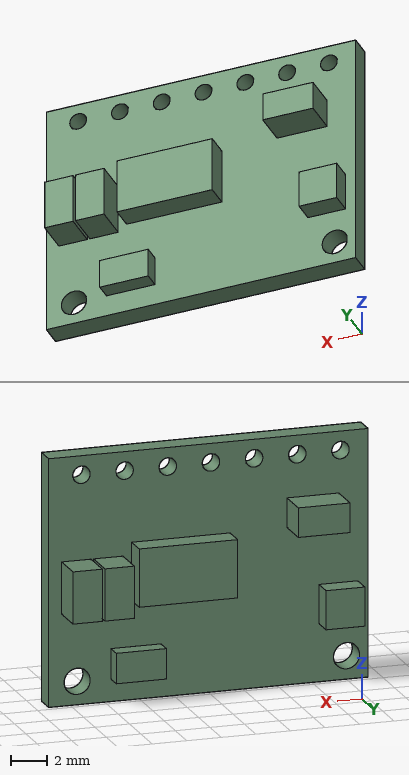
import cadquery as cq

board_width = 18.5
board_height = 14.3
board_thickness = 1.3

pin_count = 7
pin_pitch = 2.5
pin_hole_diameter = 1.0
first_pin_x = 1.6
pin_z = board_height - 1.1

mount_hole_diameter = 1.5
mount_hole_spacing = 15.6
first_mount_x = 1.25
mount_z = 1.35

tall_length = 3.0
tall_width = 1.7
tall_height = 2.0
lying_tall_x = 1.7
lying_tall_z = 9.05
standing_tall_x = 14.2
standing_tall_gap = 0.15
standing_tall_z = 5.3

chip_length = 5.7
chip_width = 3.35
chip_height = 1.35
chip_x = 8.0
chip_z = lying_tall_z - chip_width

square_side = 2.25
square_height = 1.25
square_x = 0.6
square_z = 3.35

low_length = 2.9
low_width = 1.75
low_height = 0.95
low_x = 12.0
low_z = 1.3


def make_board():
    """Plain rectangular board."""
    return cq.Workplane("XY").box(board_width, board_thickness, board_height, centered=False)


def make_holes(diameter, centres):
    """Cylinders through the board thickness at the given (x, z) centres."""
    return cq.Workplane("XZ").pushPoints(centres).circle(diameter / 2).extrude(-board_thickness)


def make_component(x, z, length, width, height):
    """Block with its lower left corner at (x, z), standing on the +Y face of the board."""
    block = cq.Workplane("XY").box(length, height, width, centered=False)
    return block.translate((x, board_thickness, z))


pin_centres = [(first_pin_x + i * pin_pitch, pin_z) for i in range(pin_count)]
mount_centres = [(first_mount_x + i * mount_hole_spacing, mount_z) for i in range(2)]

components = [
    make_component(lying_tall_x, lying_tall_z, tall_length, tall_width, tall_height),
    make_component(chip_x, chip_z, chip_length, chip_width, chip_height),
    make_component(square_x, square_z, square_side, square_side, square_height),
    make_component(low_x, low_z, low_length, low_width, low_height),
]
for i in range(2):
    standing_x = standing_tall_x + i * (tall_width + standing_tall_gap)
    components.append(
        make_component(standing_x, standing_tall_z, tall_width, tall_length, tall_height)
    )

result = make_board()
result = result.cut(make_holes(pin_hole_diameter, pin_centres))
result = result.cut(make_holes(mount_hole_diameter, mount_centres))
for component in components:
    result = result.union(component)